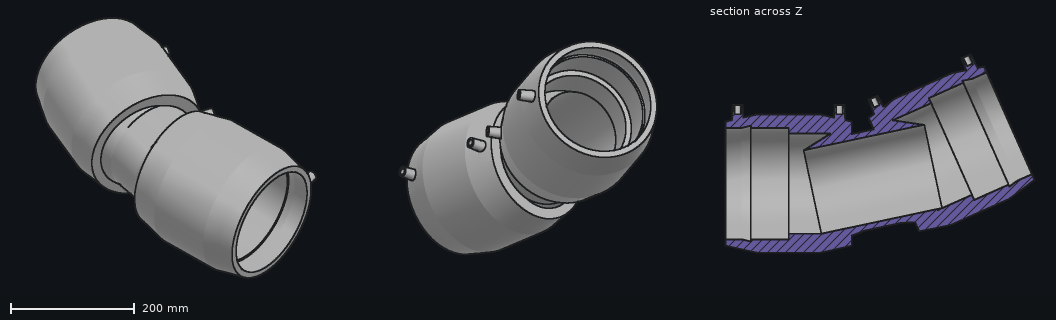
import cadquery as cq
import math


socket_length = 204.5
socket_diameter = 224.0
socket_end_diameter = 201.0
taper_length = 51.0
entry_bore = 180.0
entry_depth = socket_length / 2
relief_length = 67.5
stop_bore = 162.0
groove_start = 26.5
groove_width = 15.0
groove_depth = 3.5

overall_length = 500.0
bend_angle = 24.0
tilt = bend_angle / 2
tube_diameter = 157.5
tube_bore = 137.5
tube_setback = 4.5
bore_overrun = 65.0
flare_depth = 15.0

bend = math.radians(bend_angle)
sockets_reach = socket_length * (1 + math.cos(bend)) + socket_end_diameter / 2 * math.sin(bend)
knee_spacing = (overall_length - sockets_reach) / math.cos(bend / 2)

pin_end_distance = 20.0
pin_positions = [pin_end_distance, socket_length - pin_end_distance]
pin_tip_height = 127.5
pin_root_height = 97.5
pin_tip_diameter = 16.5
pin_root_diameter = 19.5
pin_hole_diameter = 10.0
pin_hole_depth = 15.0

tube_direction = cq.Vector(math.cos(math.radians(tilt)), math.sin(math.radians(tilt)), 0)
knee = cq.Vector(socket_length, 0, 0)
mid_point = knee + tube_direction * (knee_spacing / 2)


def socket_plane(x):
    """Plane square to the socket axis."""
    return cq.Plane(origin=(x, 0, 0), xDir=(0, 1, 0), normal=(1, 0, 0))


def tube_plane(distance):
    """Plane square to the tube axis, at a signed distance past the knee."""
    return cq.Plane(
        origin=(knee + tube_direction * distance).toTuple(),
        xDir=(-tube_direction.y, tube_direction.x, 0),
        normal=tube_direction.toTuple(),
    )


def disc(plane, diameter, length):
    return cq.Workplane(plane).circle(diameter / 2).extrude(length)


def transition(start_plane, start_diameter, end_plane, end_diameter):
    """Loft between two circles on tilted planes."""
    start = cq.Workplane(start_plane).circle(start_diameter / 2).wire().val()
    end = cq.Workplane(end_plane).circle(end_diameter / 2).wire().val()
    return cq.Workplane(cq.Solid.makeLoft([start, end]))


def socket_body():
    end_radius = socket_end_diameter / 2
    radius = socket_diameter / 2
    outline = [
        (0, 0),
        (0, end_radius),
        (taper_length, radius),
        (socket_length - taper_length, radius),
        (socket_length, end_radius),
        (socket_length, 0),
    ]
    return cq.Workplane("XY").polyline(outline).close().revolve(360, (0, 0, 0), (1, 0, 0))


def pin_plane(x, height):
    return cq.Plane(origin=(x, height, 0), xDir=(1, 0, 0), normal=(0, 1, 0))


def pin(x):
    tip = pin_plane(x, pin_tip_height)
    body = transition(pin_plane(x, pin_root_height), pin_root_diameter, tip, pin_tip_diameter)
    return body.cut(disc(tip, pin_hole_diameter, -pin_hole_depth))


def full_tube(diameter, start_distance):
    """Cylinder along the tube axis, reaching equally far past both knees."""
    return disc(tube_plane(start_distance), diameter, knee_spacing - 2 * start_distance)


def both_ends(first_end):
    """Add the mirror image that serves the second socket."""
    return first_end.union(first_end.mirror(tube_direction, mid_point))


def socket_outside():
    flare_start = socket_plane(socket_length - flare_depth)
    solid = socket_body()
    solid = solid.union(transition(flare_start, entry_bore, tube_plane(tube_setback), tube_diameter))
    for x in pin_positions:
        solid = solid.union(pin(x))
    return solid


def socket_cavity():
    groove_diameter = entry_bore + 2 * groove_depth
    cavity = disc(socket_plane(0), entry_bore, entry_depth)
    groove_end = socket_plane(groove_start + groove_width)
    cavity = cavity.union(transition(socket_plane(groove_start), entry_bore, groove_end, groove_diameter))
    relief = disc(socket_plane(entry_depth), stop_bore, relief_length)
    nose_root = socket_plane(entry_depth + relief_length)
    nose = transition(tube_plane(-bore_overrun), tube_bore, nose_root, stop_bore)
    return cavity.union(relief.cut(nose))


outside = both_ends(socket_outside()).union(full_tube(tube_diameter, tube_setback))
cavity = both_ends(socket_cavity()).union(full_tube(tube_bore, -bore_overrun))
result = outside.cut(cavity)